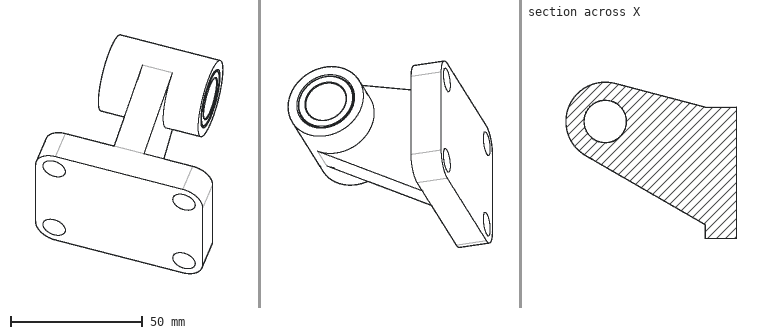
import cadquery as cq
import math

plate_width = 67.0
plate_height = 50.0
plate_thickness = 12.0
plate_corner_radius = 8.0
bolt_diameter = 9.0
bolt_spacing_x = 52.0
bolt_spacing_z = 35.0

hub_diameter = 30.0
hub_length = 40.0
hub_radius = hub_diameter / 2
total_depth = 65.0
total_height = 59.5
hub_y = total_depth - hub_radius
hub_z = total_height - hub_radius

bush_outer_diameter = 22.0
bush_bore_diameter = 16.0
seat_chamfer = 0.5
bush_chamfer = 0.3

rib_thickness = 12.0
rib_bottom_angle = math.radians(30.0)


def make_plate():
    """Rounded rectangular plate with four through bolt holes."""
    plate = (
        cq.Workplane("XY")
        .box(plate_width, plate_thickness, plate_height, centered=(True, False, False))
        .edges("|Y")
        .fillet(plate_corner_radius)
    )
    return (
        plate.faces("<Y")
        .workplane(origin=(0, 0, plate_height / 2))
        .rarray(bolt_spacing_x, bolt_spacing_z, 2, 2)
        .hole(bolt_diameter)
    )


def make_hub():
    """Solid cylinder of the hub, before the bore is cut."""
    return (
        cq.Workplane("YZ")
        .center(hub_y, hub_z)
        .circle(hub_radius)
        .extrude(hub_length / 2, both=True)
    )


def make_rib():
    """Web whose sloping edges run tangent into the hub; it ends inside the hub, on its axis."""
    reach = hub_y - plate_thickness
    rise = hub_z - plate_height
    top_angle = math.atan2(rise, reach) + math.asin(hub_radius / math.hypot(reach, rise))
    top_tangent = (
        hub_y - hub_radius * math.sin(top_angle),
        hub_z + hub_radius * math.cos(top_angle),
    )
    bottom_tangent = (
        hub_y + hub_radius * math.sin(rib_bottom_angle),
        hub_z - hub_radius * math.cos(rib_bottom_angle),
    )
    bottom_run = bottom_tangent[0] - plate_thickness
    bottom_start_z = bottom_tangent[1] - bottom_run * math.tan(rib_bottom_angle)
    return (
        cq.Workplane("YZ")
        .moveTo(plate_thickness, bottom_start_z)
        .lineTo(*bottom_tangent)
        .lineTo(hub_y, hub_z)
        .lineTo(*top_tangent)
        .lineTo(plate_thickness, plate_height)
        .close()
        .extrude(rib_thickness / 2, both=True)
    )


def revolve_about_hub_axis(profile_points):
    """Ring made by turning an (X, radius) profile about the hub axis."""
    return (
        cq.Workplane("XY", origin=(0, hub_y, hub_z))
        .polyline(profile_points)
        .close()
        .revolve(360, (0, 0, 0), (1, 0, 0))
    )


def make_bore():
    """Through bore of the bush with a small chamfer at both ends."""
    end_x = hub_length / 2
    bore_radius = bush_bore_diameter / 2
    return revolve_about_hub_axis([
        (-end_x, 0),
        (-end_x, bore_radius + bush_chamfer),
        (-end_x + bush_chamfer, bore_radius),
        (end_x - bush_chamfer, bore_radius),
        (end_x, bore_radius + bush_chamfer),
        (end_x, 0),
    ])


def make_seat_groove(side):
    """V groove between the hub's chamfered seat and the bush's chamfered rim."""
    end_x = side * hub_length / 2
    seat_radius = bush_outer_diameter / 2
    return revolve_about_hub_axis([
        (end_x, seat_radius + seat_chamfer),
        (end_x - side * seat_chamfer, seat_radius),
        (end_x - side * bush_chamfer, seat_radius),
        (end_x, seat_radius - bush_chamfer),
    ])


result = make_plate().union(make_rib()).union(make_hub()).cut(make_bore())
for side in (-1, 1):
    result = result.cut(make_seat_groove(side))